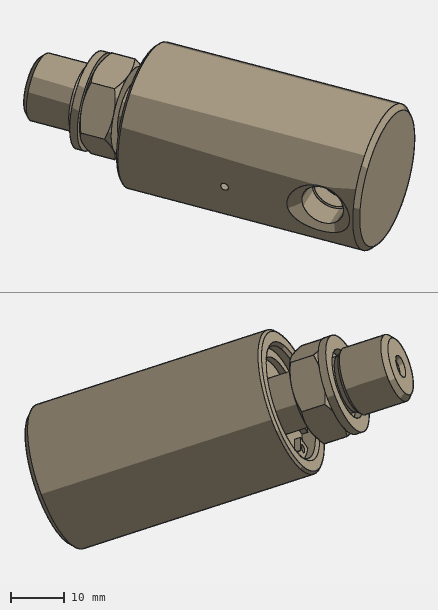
import cadquery as cq
import math

thread_end = 9.6
washer_start = 11.0
hex_start = 12.6
hex_end = 19.0
housing_start = 22.3
total_length = 71.5

thread_diameter = 13.15
thread_tip_chamfer = 1.0
runout_diameter = 12.0
neck_start = 11.15
neck_diameter = 11.0
washer_diameter = 19.0
washer_bore_diameter = 13.5
shaft_diameter = 11.0
bore_diameter = 3.2
bore_mouth_radius = 2.15
bore_mouth_depth = 0.9

hex_across_flats = 16.95
hex_chamfer_angle = 32

housing_diameter = 28.4
open_end_chamfer = 0.5
closed_end_chamfer = 1.0
recess_diameter = 22.1
recess_mouth_diameter = 23.3

ring_setback = 2.1
ring_thickness = 1.2
ring_inner_diameter = 18.6
lug_flat_y = -7.6
ring_gap = 4.1
lug_hole_diameter = 1.6
lug_hole_y = -8.7
lug_hole_z = 3.9

port_x = 63.5
port_diameter = 8.4
port_bottom_diameter = 7.9
port_mouth_diameter = 10.65
port_bottom_y = -3.85
port_tip_angle = 118
port_core_diameter = 8.4
port_overrun = 0.7
port_shoulder_y = -6.9
vent_x = 44.45
vent_diameter = 1.6
vent_depth = 2.85

ring_start = housing_start + ring_setback
recess_end = ring_start + ring_thickness
housing_radius = housing_diameter / 2


def disc(diameter, start, end):
    """Cylinder on the X axis between two stations."""
    return cq.Workplane("YZ", origin=(start, 0, 0)).circle(diameter / 2).extrude(end - start)


def revolve_about_x(points):
    """Solid of revolution from (x, radius) points."""
    return cq.Workplane("XY").polyline(points).close().revolve(360, (0, 0, 0), (1, 0, 0))


def block_beyond(y_limit, height):
    """Block filling everything on the -Y side of a limit, centred on Z = 0."""
    block = cq.Workplane("XY").box(
        total_length, housing_diameter, height, centered=(False, False, True)
    )
    return block.translate((0, y_limit - housing_diameter, 0))


def make_spindle():
    """Threaded end with runout, then washer, hexagon and plain shaft."""
    thread = disc(thread_diameter, 0, thread_end).faces("<X").chamfer(thread_tip_chamfer)
    runout_end = thread_end + (thread_diameter - runout_diameter) / 2
    neck = revolve_about_x([
        (thread_end, 0),
        (thread_end, thread_diameter / 2),
        (runout_end, runout_diameter / 2),
        (neck_start, neck_diameter / 2),
        (hex_start, neck_diameter / 2),
        (hex_start, 0),
    ])
    washer = disc(washer_diameter, washer_start, hex_start)
    washer = washer.cut(disc(washer_bore_diameter, washer_start, hex_start))
    shaft = disc(shaft_diameter, hex_end, recess_end)
    return thread.union(neck).union(washer).union(make_hexagon()).union(shaft)


def make_hexagon():
    """Hexagon with corners on the Y axis, both ends turned to a cone."""
    across_corners = hex_across_flats / math.cos(math.pi / 6)
    hexagon = (
        cq.Workplane("YZ", origin=(hex_start, 0, 0))
        .polygon(6, across_corners)
        .extrude(hex_end - hex_start)
    )
    face_radius = hex_across_flats / 2
    corner_radius = across_corners / 2
    chamfer_length = (corner_radius - face_radius) * math.tan(math.radians(hex_chamfer_angle))
    envelope = revolve_about_x([
        (hex_start, 0),
        (hex_start, face_radius),
        (hex_start + chamfer_length, corner_radius),
        (hex_end - chamfer_length, corner_radius),
        (hex_end, face_radius),
        (hex_end, 0),
    ])
    return hexagon.intersect(envelope)


def make_housing():
    """Chamfered cylinder with a round recess in its open end."""
    body = disc(housing_diameter, housing_start, total_length)
    body = body.faces("<X").chamfer(open_end_chamfer).faces(">X").chamfer(closed_end_chamfer)
    mouth_depth = (recess_mouth_diameter - recess_diameter) / 2
    recess = revolve_about_x([
        (housing_start, 0),
        (housing_start, recess_mouth_diameter / 2),
        (housing_start + mouth_depth, recess_diameter / 2),
        (recess_end, recess_diameter / 2),
        (recess_end, 0),
    ])
    return body.cut(recess)


def make_retaining_ring():
    """Ring open towards -Y, with a drilled, flat-edged lug on each side of the gap."""
    blank = disc(recess_diameter, ring_start, recess_end)
    ring = blank.cut(disc(ring_inner_diameter, ring_start, recess_end))
    lug_zone = block_beyond(lug_flat_y, housing_diameter)
    lugs = blank.intersect(lug_zone)
    gap = block_beyond(0, ring_gap)
    holes = (
        cq.Workplane("YZ", origin=(ring_start, 0, 0))
        .pushPoints([(lug_hole_y, lug_hole_z), (lug_hole_y, -lug_hole_z)])
        .circle(lug_hole_diameter / 2)
        .extrude(ring_thickness)
    )
    return ring.union(lugs).cut(gap).cut(holes)


def make_port():
    """Countersunk, stepped port whose drill-point bottom ends on a round core along X."""
    port_radius = port_diameter / 2
    bottom_radius = port_bottom_diameter / 2
    mouth_radius = port_mouth_diameter / 2
    tip_length = bottom_radius / math.tan(math.radians(port_tip_angle / 2))
    rim_y = math.sqrt(housing_radius**2 - mouth_radius**2)
    outer_y = housing_radius + port_overrun
    profile = [
        (0, port_bottom_y + tip_length),
        (bottom_radius, port_bottom_y),
        (bottom_radius, port_shoulder_y),
        (port_radius, port_shoulder_y - (port_radius - bottom_radius)),
        (port_radius, -rim_y + mouth_radius - port_radius),
        (mouth_radius + outer_y - rim_y, -outer_y),
        (0, -outer_y),
    ]
    port = cq.Workplane("XY").polyline(profile).close().revolve(360, (0, 0, 0), (0, 1, 0))
    core = disc(port_core_diameter, -port_mouth_diameter, port_mouth_diameter)
    return port.cut(core).translate((port_x, 0, 0))


def make_vent():
    """Small radial hole; its cutting shape stands clear of the housing."""
    return (
        cq.Workplane("XZ", origin=(vent_x, -housing_radius + vent_depth, 0))
        .circle(vent_diameter / 2)
        .extrude(2 * vent_depth)
    )


def make_bore():
    """Axial bore from the spindle tip to the port axis, chamfered at the mouth."""
    bore_radius = bore_diameter / 2
    return revolve_about_x([
        (0, 0),
        (0, bore_mouth_radius),
        (bore_mouth_depth, bore_radius),
        (port_x, bore_radius),
        (port_x, 0),
    ])


result = (
    make_housing()
    .union(make_retaining_ring())
    .union(make_spindle())
    .cut(make_port())
    .cut(make_vent())
    .cut(make_bore())
)